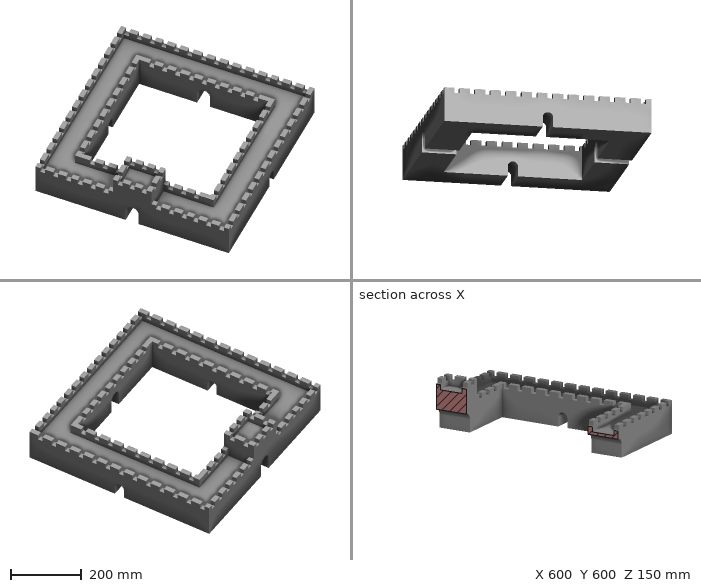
import cadquery as cq

side = 600.0
half_side = side / 2
wall_depth = side / 6
wall_height = side / 6
half_court = half_side - wall_depth

half_tower = side / 10
tower_height = side / 4

parapet = 15.0
parapet_height = 30.0

crenel_width = 15.0
crenel_depth = 15.0
crenel_pitch = side / 15

outermost_crenel = 277.0
middle_crenel = 161.5
first_back_crenel = -38.5
group_size = 3

first_side_crenel = -276.5
side_crenel_pitch = 45.0
side_crenel_count = 13
corner_crenels = 2

tower_crenel_pitch = 37.0
tower_crenels_x = [-tower_crenel_pitch, 0, tower_crenel_pitch]
tower_crenels_y = [-side_crenel_pitch / 2, side_crenel_pitch / 2]

gate_width = side / 15
gate_height = 59.5
side_gate_width = 30.0
side_gate_height = 43.0


def block(x_range, y_range, z_range):
    """Box between the given limits."""
    sizes = [high - low for low, high in (x_range, y_range, z_range)]
    corner = (x_range[0], y_range[0], z_range[0])
    return cq.Workplane("XY").box(*sizes, centered=False).translate(corner)


def square_block(half_width, z_range):
    """Square box centred on the Z axis."""
    limits = (-half_width, half_width)
    return block(limits, limits, z_range)


def castle_walls():
    """Four walls with a sunken walkway between the outer and the courtyard parapets."""
    walkway = (wall_height - parapet_height, wall_height)
    full = (0, wall_height)
    walls = square_block(half_side, full)
    walls = walls.cut(square_block(half_side - parapet, walkway))
    walls = walls.union(square_block(half_court + parapet, full))
    return walls.cut(square_block(half_court, full))


def add_tower(walls):
    """Gate tower as deep as the wall, with a sunken roof."""
    tower = block((-half_tower, half_tower), (-half_side, -half_court), (0, tower_height))
    roof = block(
        (parapet - half_tower, half_tower - parapet),
        (parapet - half_side, -half_court - parapet),
        (tower_height - parapet_height, tower_height),
    )
    return walls.union(tower).cut(roof)


def notch_x(x, y_start, top):
    """Crenel at x, through an X-running parapet whose -Y face is at y_start."""
    x_range = (x - crenel_width / 2, x + crenel_width / 2)
    return block(x_range, (y_start, y_start + parapet), (top - crenel_depth, top))


def notch_y(y, x_start, top):
    """Crenel at y, through a Y-running parapet whose -X face is at x_start."""
    y_range = (y - crenel_width / 2, y + crenel_width / 2)
    return block((x_start, x_start + parapet), y_range, (top - crenel_depth, top))


def wall_crenels():
    """Crenels of the front, back and side walls, in the outer and the courtyard parapets."""
    steps = [crenel_pitch * i for i in range(group_size)]
    outer_x = [sign * (outermost_crenel - step) for sign in (-1, 1) for step in steps]
    middle_x = [sign * (middle_crenel - step) for sign in (-1, 1) for step in steps]
    back_x = [first_back_crenel + step for step in steps]
    side_y = [first_side_crenel + side_crenel_pitch * i for i in range(side_crenel_count)]
    outer_back = half_side - parapet
    court_front = -half_court - parapet

    notches = [notch_x(x, y, wall_height) for x in outer_x + middle_x for y in (-half_side, outer_back)]
    notches += [notch_x(x, y, wall_height) for x in middle_x for y in (court_front, half_court)]
    notches += [notch_x(x, y, wall_height) for x in back_x for y in (half_court, outer_back)]
    notches += [notch_y(y, x, wall_height) for y in side_y for x in (-half_side, outer_back)]
    court_y = side_y[corner_crenels:-corner_crenels]
    notches += [notch_y(y, x, wall_height) for y in court_y for x in (court_front, half_court)]
    return notches


def tower_crenels():
    """Crenels on the four sides of the tower roof."""
    middle_y = -(half_side + half_court) / 2
    front_and_back = (-half_side, -half_court - parapet)
    left_and_right = (-half_tower, half_tower - parapet)
    notches = [notch_x(x, y, tower_height) for x in tower_crenels_x for y in front_and_back]
    notches += [notch_y(middle_y + y, x, tower_height) for y in tower_crenels_y for x in left_and_right]
    return notches


def passage(plane, width, height):
    """Round-topped passage through two opposite walls, along the normal of the plane."""
    radius = width / 2
    spring = height - radius
    return (
        cq.Workplane(plane)
        .moveTo(-radius, 0)
        .lineTo(radius, 0)
        .lineTo(radius, spring)
        .threePointArc((0, height), (-radius, spring))
        .close()
        .extrude(half_side, both=True)
    )


def make_castle():
    """Walls and gate tower in one piece, with crenels and passages."""
    castle = add_tower(castle_walls())
    for notch in wall_crenels() + tower_crenels():
        castle = castle.cut(notch)
    castle = castle.cut(passage("XZ", gate_width, gate_height))
    return castle.cut(passage("YZ", side_gate_width, side_gate_height))


castle = make_castle()

result = cq.Compound.makeCompound([castle.val()])